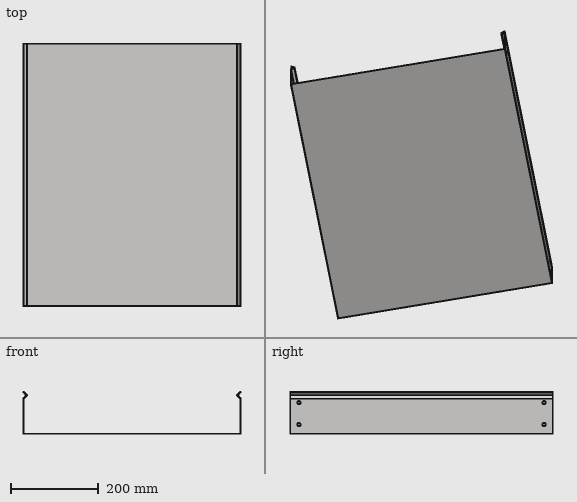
import cadquery as cq
import math

width = 497.74
length = 600.0
height = 96.25
sheet = 1.0

wall_height = 80.6
lip_tip_leg = 10.0

hole_diameter = 7.0
hole_end_inset = 20.0
lower_hole_height = 21.4
hole_spacing = 50.0

half_diagonal = sheet / math.sqrt(2)
diagonal = 2 * half_diagonal
tip_height = height - half_diagonal
tip_run = lip_tip_leg / math.sqrt(2)
apex_height = tip_height - tip_run
lip_depth = apex_height - wall_height
tip_inset = lip_depth - tip_run
inner_bend_height = wall_height + sheet - diagonal


def side_section():
    """Corners of one wall and its lip, as (distance in from the outer side, height)."""
    outside = [
        (0, 0),
        (0, wall_height),
        (lip_depth, apex_height),
        (tip_inset, tip_height),
    ]
    inside = [
        (tip_inset + half_diagonal, height),
        (lip_depth + diagonal, apex_height),
        (sheet, inner_bend_height),
        (sheet, sheet),
    ]
    return outside + inside


def folded_sheet():
    """Floor, walls and lips as one mirrored section extruded along Y."""
    left = [(inset - width / 2, z) for inset, z in side_section()]
    right = [(-x, z) for x, z in reversed(left)]
    section = cq.Workplane("XZ").polyline(left + right).close()
    return section.extrude(length / 2, both=True)


def wall_holes():
    """Cutters crossing both walls, two holes above each other near each end."""
    hole_y = length / 2 - hole_end_inset
    heights = (lower_hole_height, lower_hole_height + hole_spacing)
    centres = [(y, z) for y in (-hole_y, hole_y) for z in heights]
    drill = cq.Workplane("YZ").pushPoints(centres).circle(hole_diameter / 2)
    return drill.extrude(width, both=True)


result = folded_sheet().cut(wall_holes())